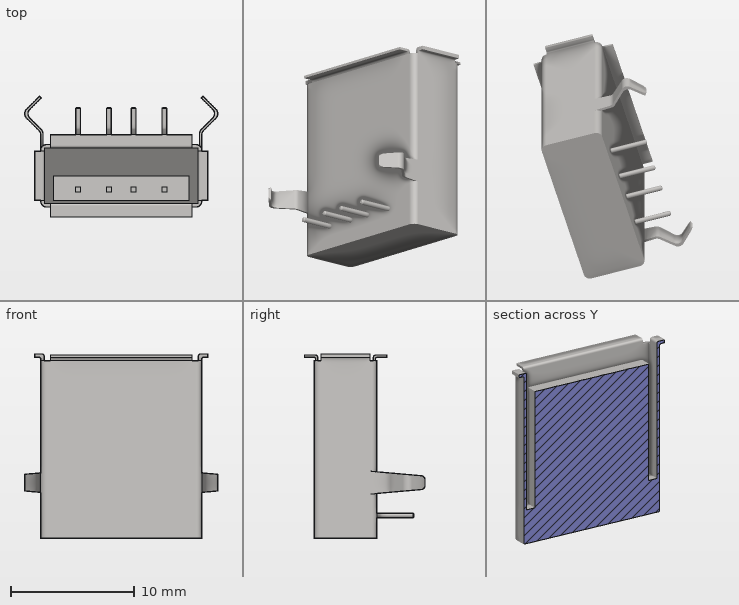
import cadquery as cq
import math

shell_width = 13.1
shell_depth = 5.1
shell_height = 14.45
shell_wall = 0.3
shell_corner_radius = 0.5
floor_thickness = 3.0

long_lip_length = 11.5
long_lip_span = 6.7
long_lip_top = 14.9
long_lip_thickness = 0.2
short_lip_length = 4.0
short_lip_span = 14.06
short_lip_top = 15.0
short_lip_thickness = 0.3
lip_outer_bend = 0.2
lip_inner_bend = 0.1

tongue_width = 11.0
tongue_depth = 2.0
tongue_top = 13.2

contact_positions = (-3.5, -1.0, 1.0, 3.5)
contact_size = 0.4
contact_y = -1.12
contact_proud = 0.02
pin_diameter = 0.4
pin_z = 1.86
pin_end_y = 5.55
pin_chamfer = 0.08

leg_thickness = 0.2
leg_start_y = 2.0
leg_knee_y = 3.58
leg_elbow_x = 7.916
leg_tip_y = 6.4
leg_bend_radius = 0.5
leg_z = 4.53
leg_root_height = 1.87
leg_taper = math.radians(5)
leg_tip_radius = 0.35

cavity_width = shell_width - 2 * shell_wall
cavity_depth = shell_depth - 2 * shell_wall


def make_shell():
    outer = (
        cq.Workplane("XY")
        .rect(shell_width, shell_depth)
        .extrude(shell_height)
        .edges("|Z")
        .fillet(shell_corner_radius)
    )
    cavity = (
        cq.Workplane("XY")
        .workplane(offset=floor_thickness)
        .rect(cavity_width, cavity_depth)
        .extrude(shell_height - floor_thickness)
    )
    return outer.cut(cavity)


def make_lip(plane, inner_face, outer_end, top, thickness, length):
    """L-shaped lip rising from the rim and bending outward along the plane's local x."""
    neck_outer = inner_face + thickness
    underside = top - thickness
    return (
        cq.Workplane(plane)
        .moveTo(inner_face, shell_height)
        .lineTo(inner_face, top - lip_outer_bend)
        .radiusArc((inner_face + lip_outer_bend, top), lip_outer_bend)
        .lineTo(outer_end, top)
        .lineTo(outer_end, underside)
        .lineTo(neck_outer + lip_inner_bend, underside)
        .radiusArc((neck_outer, underside - lip_inner_bend), -lip_inner_bend)
        .lineTo(neck_outer, shell_height)
        .close()
        .extrude(length / 2, both=True)
    )


def make_tongue():
    return (
        cq.Workplane("XY")
        .center(0, -tongue_depth / 2)
        .rect(tongue_width, tongue_depth)
        .extrude(tongue_top)
    )


def make_contact(x):
    """Square contact end on the tongue tip and round solder pin through the back wall."""
    contact = (
        cq.Workplane("XY")
        .workplane(offset=pin_z)
        .center(x, contact_y)
        .rect(contact_size, contact_size)
        .extrude(tongue_top + contact_proud - pin_z)
    )
    pin = (
        cq.Workplane("XZ", origin=(x, contact_y, pin_z))
        .circle(pin_diameter / 2)
        .extrude(contact_y - pin_end_y)
        .faces(">Y")
        .chamfer(pin_chamfer)
    )
    return contact.union(pin)


def make_leg():
    """Spring leg on the +X side: a bent strip, tapered and rounded toward its tip."""
    wall_x = shell_width / 2 - leg_thickness / 2
    elbow_y = leg_knee_y + (leg_elbow_x - wall_x)
    tip_x = leg_elbow_x - (leg_tip_y - elbow_y)
    slant_angle = math.radians(45)
    half = leg_thickness / 2
    knee_shift = half * math.tan(slant_angle / 2)
    slant_shift = half / math.sin(slant_angle)
    tip_shift = half * math.sin(slant_angle)
    strip = (
        cq.Workplane("XY")
        .polyline([
            (wall_x + half, leg_start_y),
            (wall_x + half, leg_knee_y - knee_shift),
            (leg_elbow_x + slant_shift, elbow_y),
            (tip_x + tip_shift, leg_tip_y + tip_shift),
            (tip_x - tip_shift, leg_tip_y - tip_shift),
            (leg_elbow_x - slant_shift, elbow_y),
            (wall_x - half, leg_knee_y + knee_shift),
            (wall_x - half, leg_start_y),
        ])
        .close()
        .extrude(shell_height)
    )
    bend_corners = (
        (leg_elbow_x + slant_shift, elbow_y),
        (leg_elbow_x - slant_shift, elbow_y),
        (wall_x - half, leg_knee_y + knee_shift),
        (wall_x + half, leg_knee_y - knee_shift),
    )
    for x, y in bend_corners:
        bend_edge = cq.selectors.NearestToPointSelector((x, y, shell_height / 2))
        strip = strip.edges("|Z").edges(bend_edge).fillet(leg_bend_radius)

    end_y = leg_tip_y + tip_shift
    root_half = leg_root_height / 2
    end_half = root_half - (end_y - leg_start_y) * math.tan(leg_taper)
    outline = (
        cq.Workplane("YZ")
        .polyline([
            (leg_start_y, leg_z - root_half),
            (end_y, leg_z - end_half),
            (end_y, leg_z + end_half),
            (leg_start_y, leg_z + root_half),
        ])
        .close()
        .extrude(shell_width)
        .edges("|X and >Y")
        .fillet(leg_tip_radius)
    )
    return strip.intersect(outline)


result = make_shell().union(make_tongue())

long_lip = make_lip(
    "YZ", cavity_depth / 2, long_lip_span / 2, long_lip_top, long_lip_thickness, long_lip_length
)
short_lip = make_lip(
    "XZ", cavity_width / 2, short_lip_span / 2, short_lip_top, short_lip_thickness, short_lip_length
)
result = result.union(long_lip).union(long_lip.mirror("XZ"))
result = result.union(short_lip).union(short_lip.mirror("YZ"))

for contact_x in contact_positions:
    result = result.union(make_contact(contact_x))

leg = make_leg()
result = result.union(leg).union(leg.mirror("YZ"))